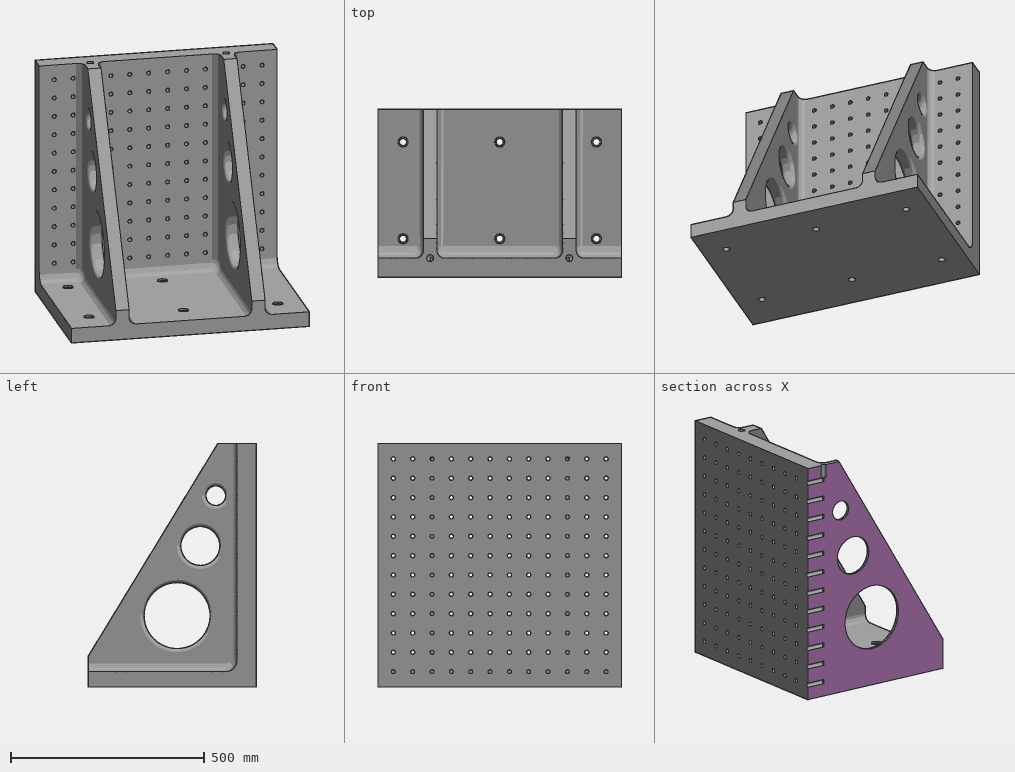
import cadquery as cq
import math

WIDTH = 630.0
DEPTH = 435.0
HEIGHT = 630.0

PLATE_THICKNESS = 50.0
BASE_THICKNESS = 40.0
RIB_THICKNESS = 35.0
RIB_OFFSET = 180.0
RIB_TOP_Y = 100.0
RIB_REAR_HEIGHT = 80.0
CORNER_RADIUS = 30.0
RIB_FILLET_RADIUS = 20.0

GRID_COUNT = 12
GRID_PITCH = 50.0
GRID_BOTTOM_Z = 40.0
GRID_HOLE_DIAMETER = 10.2
GRID_HOLE_DEPTH = PLATE_THICKNESS

MOUNT_X_PITCH = 250.0
MOUNT_Y_POSITIONS = (100.0, 350.0)
MOUNT_HOLE_DIAMETER = 18.0
COUNTERBORE_DIAMETER = 26.0
COUNTERBORE_DEPTH = 5.0

LIFT_HOLE_DIAMETER = 17.5
LIFT_HOLE_DEPTH = 35.0
DRILL_TIP_ANGLE = 118.0

LIGHTENING_HOLES = (
    (105.0, 495.0, 50.0),
    (145.0, 365.0, 100.0),
    (205.0, 185.0, 170.0),
)
RIM_RADIUS = 10.0

RIB_POSITIONS = (-RIB_OFFSET, RIB_OFFSET)


def make_side_extrusion(points, x_center, thickness):
    """Extrude a (y, z) outline along X, centred on x_center."""
    outline = cq.Workplane("YZ", origin=(x_center, 0, 0)).polyline(points).close()
    return outline.extrude(thickness / 2, both=True)


def make_angle():
    """L-shaped plate and base with a rounded inner corner."""
    points = [
        (0, 0),
        (DEPTH, 0),
        (DEPTH, BASE_THICKNESS),
        (PLATE_THICKNESS, BASE_THICKNESS),
        (PLATE_THICKNESS, HEIGHT),
        (0, HEIGHT),
    ]
    angle = make_side_extrusion(points, 0, WIDTH)
    inner_corner = cq.NearestToPointSelector((0, PLATE_THICKNESS, BASE_THICKNESS))
    return angle.edges(inner_corner).fillet(CORNER_RADIUS)


def make_rib(x_center):
    """Triangular rib that reaches into the plate and the base."""
    inside_y = PLATE_THICKNESS / 2
    inside_z = BASE_THICKNESS / 2
    points = [
        (inside_y, inside_z),
        (DEPTH, inside_z),
        (DEPTH, RIB_REAR_HEIGHT),
        (RIB_TOP_Y, HEIGHT),
        (inside_y, HEIGHT),
    ]
    return make_side_extrusion(points, x_center, RIB_THICKNESS)


def fillet_rib_feet(body):
    """Round both sides of every rib along the plate, the corner and the base."""
    for rib_x in RIB_POSITIONS:
        for side in (-1, 1):
            wall_x = rib_x + side * RIB_THICKNESS / 2
            plate_foot = cq.NearestToPointSelector((wall_x, PLATE_THICKNESS, HEIGHT / 2))
            body = body.edges(plate_foot).fillet(RIB_FILLET_RADIUS)
    return body


def make_lightening_cutter(x_center, y, z, diameter):
    """Round cutter along X that flares out with RIM_RADIUS at both rib walls."""
    radius = diameter / 2
    rim = radius + RIM_RADIUS
    half_wall = RIB_THICKNESS / 2
    half_bore = half_wall - RIM_RADIUS
    bend = RIM_RADIUS * (1 - math.sqrt(0.5))
    profile = (
        cq.Workplane("XY")
        .moveTo(-half_wall, 0)
        .lineTo(-half_wall, rim)
        .threePointArc((-half_wall + bend, radius + bend), (-half_bore, radius))
        .lineTo(half_bore, radius)
        .threePointArc((half_wall - bend, radius + bend), (half_wall, rim))
        .lineTo(half_wall, 0)
        .close()
    )
    cutter = profile.revolve(360, (0, 0, 0), (1, 0, 0))
    return cutter.translate((x_center, y, z))


def cut_lightening_holes(body):
    for rib_x in RIB_POSITIONS:
        for y, z, diameter in LIGHTENING_HOLES:
            body = body.cut(make_lightening_cutter(rib_x, y, z, diameter))
    return body


def cut_grid_holes(body):
    grid_center_z = GRID_BOTTOM_Z + (GRID_COUNT - 1) * GRID_PITCH / 2
    holes = (
        cq.Workplane("XZ", origin=(0, 0, grid_center_z))
        .rarray(GRID_PITCH, GRID_PITCH, GRID_COUNT, GRID_COUNT)
        .circle(GRID_HOLE_DIAMETER / 2)
        .extrude(-GRID_HOLE_DEPTH)
    )
    return body.cut(holes)


def cut_mounting_holes(body):
    points = [(column * MOUNT_X_PITCH, y) for column in (-1, 0, 1) for y in MOUNT_Y_POSITIONS]
    return (
        body.copyWorkplane(cq.Workplane("XY", origin=(0, 0, BASE_THICKNESS)))
        .pushPoints(points)
        .cboreHole(MOUNT_HOLE_DIAMETER, COUNTERBORE_DIAMETER, COUNTERBORE_DEPTH, BASE_THICKNESS)
    )


def make_drilled_hole(diameter, depth):
    """Cutter for a blind hole going down from the origin, with a conical drill tip."""
    radius = diameter / 2
    tip_length = radius / math.tan(math.radians(DRILL_TIP_ANGLE / 2))
    profile = [
        (0, 0),
        (radius, 0),
        (radius, -depth),
        (0, -depth - tip_length),
    ]
    return cq.Workplane("XZ").polyline(profile).close().revolve(360, (0, 0, 0), (0, 1, 0))


def cut_lifting_holes(body):
    for rib_x in RIB_POSITIONS:
        hole = make_drilled_hole(LIFT_HOLE_DIAMETER, LIFT_HOLE_DEPTH)
        body = body.cut(hole.translate((rib_x, PLATE_THICKNESS, HEIGHT)))
    return body


bracket = make_angle()
for rib_position in RIB_POSITIONS:
    bracket = bracket.union(make_rib(rib_position))
bracket = fillet_rib_feet(bracket)
bracket = cut_lightening_holes(bracket)
bracket = cut_grid_holes(bracket)
bracket = cut_mounting_holes(bracket)
result = cut_lifting_holes(bracket)